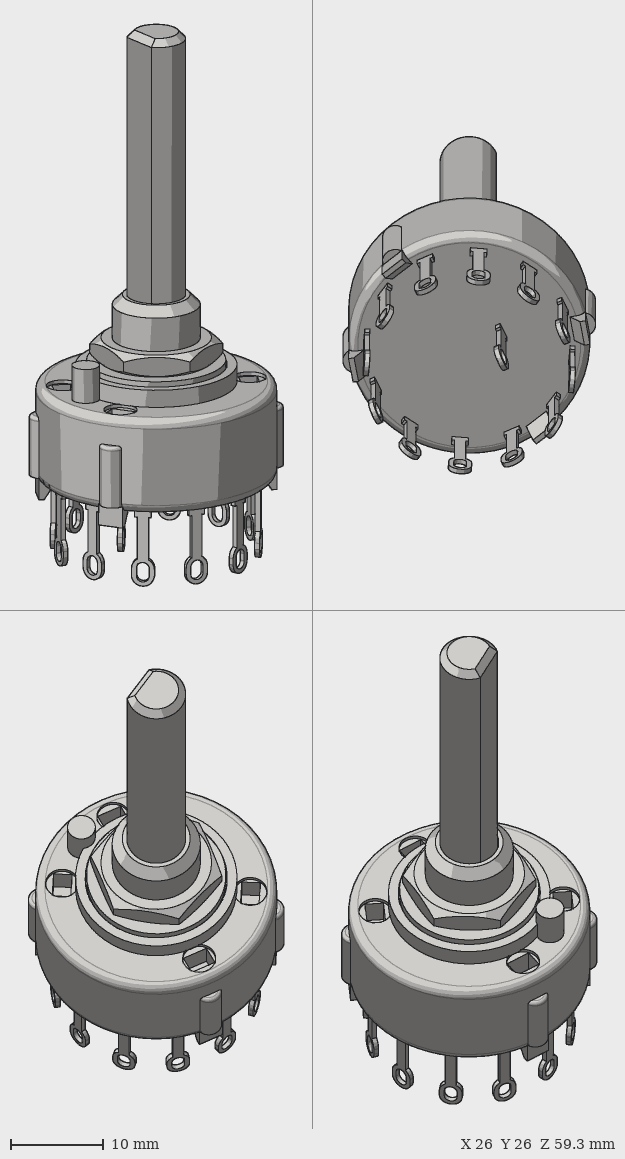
import cadquery as cq
import math


housing_radius = 13.0
housing_height = 10.7
housing_edge_radius = 1.0

flange_radius = 8.7
flange_top = housing_height + 1.95
recess_radius = 15.3 / 2
recess_depth = 0.4

washer_radius = 15.0 / 2
washer_top = flange_top + 0.55
nut_corner_radius = 7.17
nut_chamfer_radius = 5.95
nut_chamfer_angle = 30
nut_height = 2.5
nut_turn = -7
bushing_radius = 9.5 / 2
bushing_top = 20.6
bushing_chamfer = 1.1

pin_radius = 3.0 / 2
pin_offset = 9.6
pin_top = 14.55

shaft_radius = 6.35 / 2
shaft_top = 50.52
shaft_bottom = housing_height
shaft_flat_offset = 2.33
shaft_chamfer = 0.77

latch_angles = (60, 120, 240, 300)
pocket_radius = 3.55 / 2
pocket_offset = 10.15
pocket_depth = 0.4
slot_length = 2.8
slot_width = 2.0
slot_depth = 3.0
rib_radius = 1.4
rib_offset = 12.4
rib_bottom = 0.65
rib_top = 7.55
rib_edge_radius = 0.4
latch_width = 2 * rib_radius
latch_outer = 12.95
latch_bottom = -1.75
latch_tip_thickness = 0.6
latch_root_thickness = 1.7

terminal_count = 12
terminal_first_angle = 15
terminal_offset = 11.1
common_angle = 225
common_offset = 3.8
terminal_thickness = 0.55
terminal_length = 8.78
shoulder_width = 1.8
shoulder_length = 0.95
neck_width = 1.2
eye_width = 2.5
eye_height = 3.2
eye_hole_width = 1.4
eye_hole_height = 2.2
embed = 1.0


def cylinder(radius, bottom, top):
    return cq.Workplane("XY").workplane(offset=bottom).circle(radius).extrude(top - bottom)


def place(shape, offset, angle):
    """Move a shape out along +X, then swing it about the Z axis."""
    return shape.translate((offset, 0, 0)).rotate((0, 0, 0), (0, 0, 1), angle)


def make_nut():
    prism = (
        cq.Workplane("XY")
        .workplane(offset=washer_top)
        .polygon(6, 2 * nut_corner_radius)
        .extrude(nut_height)
        .rotate((0, 0, 0), (0, 0, 1), nut_turn)
    )
    bevel_drop = (nut_corner_radius - nut_chamfer_radius) * math.tan(math.radians(nut_chamfer_angle))
    nut_top = washer_top + nut_height
    envelope = (
        cq.Workplane("XZ")
        .moveTo(0, washer_top)
        .lineTo(nut_chamfer_radius, washer_top)
        .lineTo(nut_corner_radius, washer_top + bevel_drop)
        .lineTo(nut_corner_radius, nut_top - bevel_drop)
        .lineTo(nut_chamfer_radius, nut_top)
        .lineTo(0, nut_top)
        .close()
        .revolve(360, (0, 0, 0), (0, 1, 0))
    )
    return prism.intersect(envelope)


def make_pocket():
    """Cutter for a round counterbore with a deeper rectangular slot."""
    round_part = cylinder(pocket_radius, housing_height - pocket_depth, housing_height)
    slot = (
        cq.Workplane("XY")
        .workplane(offset=housing_height - slot_depth)
        .rect(slot_width, slot_length)
        .extrude(slot_depth)
    )
    return round_part.union(slot)


def make_rib():
    return cylinder(rib_radius, rib_bottom, rib_top).faces(">Z").edges().fillet(rib_edge_radius)


def make_latch():
    """Block under a rib, with a sloping inner face; X = 0 is its outer face."""
    return (
        cq.Workplane("XZ")
        .moveTo(0, rib_bottom)
        .lineTo(0, latch_bottom)
        .lineTo(-latch_tip_thickness, latch_bottom)
        .lineTo(-latch_root_thickness, 0)
        .lineTo(-latch_root_thickness, rib_bottom)
        .close()
        .extrude(latch_width / 2, both=True)
    )


def make_terminal():
    """Flat solder lug, thin along X, hanging from the underside of the drum."""
    eye_center = eye_height / 2 - terminal_length
    shoulder = cq.Workplane("YZ").center(0, (embed - shoulder_length) / 2).rect(
        shoulder_width, embed + shoulder_length
    )
    neck = cq.Workplane("YZ").center(0, eye_center / 2).rect(neck_width, -eye_center)
    eye = cq.Workplane("YZ").center(0, eye_center).slot2D(eye_height, eye_width, 90)
    eye_hole = cq.Workplane("YZ").center(0, eye_center).slot2D(eye_hole_height, eye_hole_width, 90)
    half = terminal_thickness / 2
    lug = shoulder.extrude(half, both=True)
    lug = lug.union(neck.extrude(half, both=True))
    lug = lug.union(eye.extrude(half, both=True))
    return lug.cut(eye_hole.extrude(half, both=True))


def make_housing():
    body = cylinder(housing_radius, 0, housing_height).edges().fillet(housing_edge_radius)
    body = body.union(cylinder(flange_radius, housing_height, flange_top))
    body = body.cut(cylinder(recess_radius, flange_top - recess_depth, flange_top))
    body = body.union(cylinder(pin_radius, housing_height, pin_top).translate((0, -pin_offset, 0)))

    body = body.union(cylinder(washer_radius, flange_top - recess_depth, washer_top))
    body = body.union(make_nut())
    bushing = cylinder(bushing_radius, flange_top, bushing_top)
    body = body.union(bushing.faces(">Z").edges().chamfer(bushing_chamfer))

    for angle in latch_angles:
        body = body.union(place(make_rib(), rib_offset, angle))
        body = body.union(place(make_latch(), latch_outer, angle))
        body = body.cut(place(make_pocket(), pocket_offset, angle))

    for index in range(terminal_count):
        angle = terminal_first_angle + index * 360 / terminal_count
        body = body.union(place(make_terminal(), terminal_offset, angle))
    body = body.union(place(make_terminal(), common_offset, common_angle))

    return body.cut(cylinder(shaft_radius, shaft_bottom, bushing_top))


def make_shaft():
    """D-shaped along its whole length, in a round bore."""
    flat_cutter = (
        cq.Workplane("XY")
        .workplane(offset=shaft_bottom)
        .center(0, -shaft_flat_offset - shaft_radius)
        .rect(2 * shaft_radius, 2 * shaft_radius)
        .extrude(shaft_top - shaft_bottom)
    )
    bar = cylinder(shaft_radius, shaft_bottom, shaft_top).cut(flat_cutter)
    return bar.faces(">Z").edges().chamfer(shaft_chamfer)


housing = make_housing()
shaft = make_shaft()
result = cq.Compound.makeCompound([housing.val(), shaft.val()])